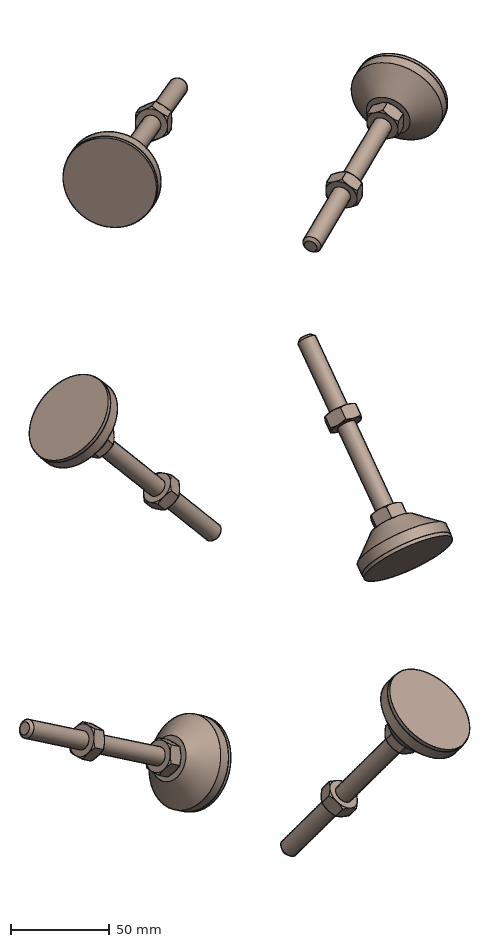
import cadquery as cq
import math

foot_diameter = 50.0
foot_top_diameter = 24.0
foot_rim_height = 8.0
foot_height = 20.0
pad_thickness = 2.0
pad_inset = 0.2

stud_diameter = 10.0
stud_tip_chamfer = 1.6
overall_length = 128.0

nut_sides = 6
nut_across_flats = 17.0
nut_height = 8.0
nut_chamfer_angle = 30.0
corner_direction = 90.0
lock_nut_base = 77.2


def revolve_about_y(profile):
    """Close a half profile along the Y axis and turn it into a solid."""
    return profile.close().revolve(360, (0, 0, 0), (0, 1, 0))


def make_foot():
    """Pad, rim and conical back in one turned solid."""
    rim_radius = foot_diameter / 2
    pad_radius = rim_radius - pad_inset
    profile = (
        cq.Workplane("XY")
        .lineTo(pad_radius, 0)
        .lineTo(pad_radius, pad_thickness)
        .lineTo(rim_radius, pad_thickness)
        .lineTo(rim_radius, foot_rim_height)
        .lineTo(foot_top_diameter / 2, foot_height)
        .lineTo(0, foot_height)
    )
    return revolve_about_y(profile)


def make_stud():
    """Rod rising from the top of the foot, with a chamfered free end."""
    radius = stud_diameter / 2
    profile = (
        cq.Workplane("XY")
        .moveTo(0, foot_height)
        .lineTo(radius, foot_height)
        .lineTo(radius, overall_length - stud_tip_chamfer)
        .lineTo(radius - stud_tip_chamfer, overall_length)
        .lineTo(0, overall_length)
    )
    return revolve_about_y(profile)


def make_nut(base):
    """Solid hexagon from base upward along Y, its corners turned off conically at both ends."""
    flat_radius = nut_across_flats / 2
    corner_radius = flat_radius / math.cos(math.pi / nut_sides)
    chamfer_height = (corner_radius - flat_radius) * math.tan(math.radians(nut_chamfer_angle))
    top = base + nut_height

    hexagon = (
        cq.Workplane("XZ", origin=(0, base, 0))
        .transformed(rotate=(0, 0, corner_direction))
        .polygon(nut_sides, 2 * corner_radius)
        .extrude(-nut_height)
    )
    envelope = (
        cq.Workplane("XY")
        .moveTo(0, base)
        .lineTo(flat_radius, base)
        .lineTo(corner_radius, base + chamfer_height)
        .lineTo(corner_radius, top - chamfer_height)
        .lineTo(flat_radius, top)
        .lineTo(0, top)
    )
    return hexagon.intersect(revolve_about_y(envelope))


result = make_foot().union(make_stud())
for nut_base in (foot_height, lock_nut_base):
    result = result.union(make_nut(nut_base))